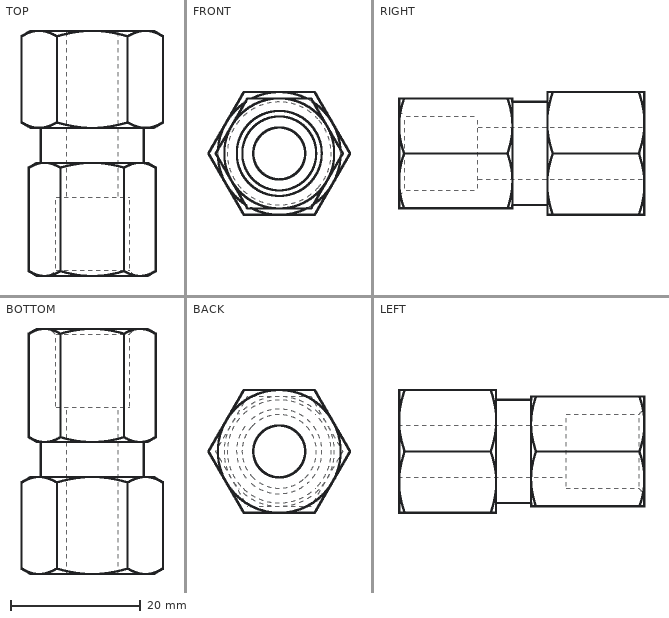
import cadquery as cq
import math

total_length = 37.9
small_hex_flats = 17.0
small_hex_length = 17.5
large_hex_flats = 19.0
large_hex_length = 15.0
neck_diameter = 16.0
through_diameter = 8.0
socket_diameter = 11.45
socket_mouth_diameter = 13.15
socket_depth = 12.13
hex_chamfer_angle = 30.0

large_hex_start = total_length - large_hex_length
mouth_chamfer = (socket_mouth_diameter - socket_diameter) / 2


def cylinder(diameter, start, length):
    """Cylinder on the Y axis, growing toward +Y from the given start."""
    plane = cq.Workplane("XZ", origin=(0, start, 0))
    return plane.circle(diameter / 2).extrude(-length)


def hex_nut(flats, start, length):
    """Hexagon with corners on X and both ends turned to a cone touching the flats."""
    corners = flats / math.cos(math.radians(30))
    flat_radius = flats / 2
    corner_radius = corners / 2
    chamfer = (corner_radius - flat_radius) * math.tan(math.radians(hex_chamfer_angle))
    end = start + length

    prism = cq.Workplane("XZ", origin=(0, start, 0)).polygon(6, corners).extrude(-length)
    turned_envelope = (
        cq.Workplane("XY")
        .moveTo(0, start)
        .lineTo(flat_radius, start)
        .lineTo(corner_radius, start + chamfer)
        .lineTo(corner_radius, end - chamfer)
        .lineTo(flat_radius, end)
        .lineTo(0, end)
        .close()
        .revolve(360, (0, 0, 0), (0, 1, 0))
    )
    return prism.intersect(turned_envelope)


def socket():
    """Blind socket with a conical mouth at the small nut's outer face."""
    return (
        cq.Workplane("XY")
        .lineTo(socket_mouth_diameter / 2, 0)
        .lineTo(socket_diameter / 2, mouth_chamfer)
        .lineTo(socket_diameter / 2, socket_depth)
        .lineTo(0, socket_depth)
        .close()
        .revolve(360, (0, 0, 0), (0, 1, 0))
    )


small_hex = hex_nut(small_hex_flats, 0, small_hex_length)
large_hex = hex_nut(large_hex_flats, large_hex_start, large_hex_length)
neck = cylinder(neck_diameter, small_hex_length, large_hex_start - small_hex_length)
body = small_hex.union(neck).union(large_hex)

through_bore = cylinder(through_diameter, 0, total_length)
result = body.cut(through_bore).cut(socket())